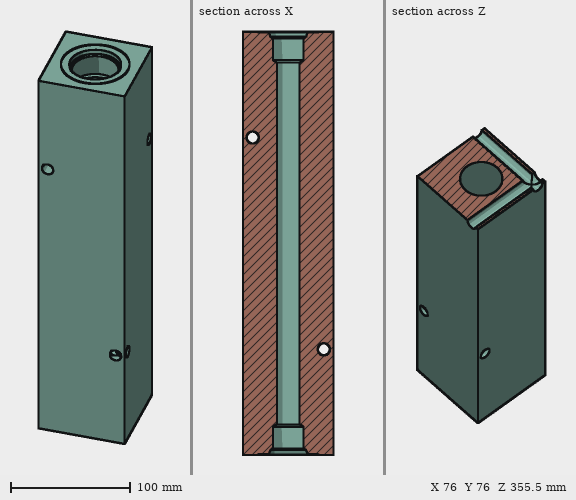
import cadquery as cq

width = 76.0
length = 355.5
half_length = length / 2

bore_diameter = 35.2
port_diameter = 39.0
port_depth = 23.0
spot_face_diameter = 57.5
spot_face_depth = 0.7
seal_mouth_diameter = 43.7
seal_end_diameter = 42.0
seal_depth = 3.5

hole_diameter = 10.0
hole_offset = 30.0
hole_height = length / 4


def bore_cutter():
    """Half section of the bore and its two ports, turned about Z."""
    bore_radius = bore_diameter / 2
    port_radius = port_diameter / 2
    seal_end_radius = seal_end_diameter / 2
    spot_face_radius = spot_face_diameter / 2
    spot_face_z = half_length - spot_face_depth
    seal_end_z = spot_face_z - seal_depth
    port_end_z = spot_face_z - port_depth
    upper = [
        (bore_radius, port_end_z - (port_radius - bore_radius)),
        (port_radius, port_end_z),
        (port_radius, seal_end_z - (seal_end_radius - port_radius)),
        (seal_end_radius, seal_end_z),
        (seal_mouth_diameter / 2, spot_face_z),
        (spot_face_radius, spot_face_z),
        (spot_face_radius, half_length),
        (0, half_length),
    ]
    lower = [(radius, -z) for radius, z in reversed(upper)]
    return (
        cq.Workplane("XZ")
        .polyline(upper + lower)
        .close()
        .revolve(360, (0, 0, 0), (0, 1, 0))
    )


def cross_hole(plane, offset, height):
    """Cylinder right across the bar, normal to the given plane."""
    return (
        cq.Workplane(plane)
        .center(offset, height)
        .circle(hole_diameter / 2)
        .extrude(width / 2, both=True)
    )


result = cq.Workplane("XY").box(width, width, length)
result = result.cut(bore_cutter())

for side in (1, -1):
    result = result.cut(cross_hole("XZ", -side * hole_offset, side * hole_height))
    result = result.cut(cross_hole("YZ", side * hole_offset, side * hole_height))